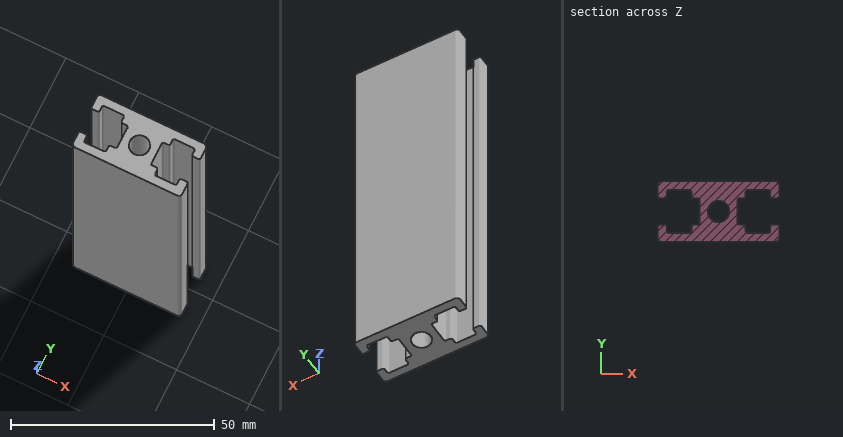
import cadquery as cq

width = 30.0
depth = 15.0
length = 100.0
corner_radius = 1.0

slot_width = 6.5
slot_depth = 10.3
slot_edge_radius = 0.5
lip_thickness = 2.3
shoulder_depth = 8.3
chamber_width = 10.5

bore_diameter = 5.2


def bar():
    """Solid rectangular bar standing on the XY plane."""
    return cq.Workplane("XY").rect(width, depth).extrude(length)


def slot_cutter(side):
    """T-slot void opening on the +X (side=1) or -X (side=-1) face."""
    chamber_depth = shoulder_depth - lip_thickness
    chamber_middle = (lip_thickness + shoulder_depth) / 2
    chamber = (
        cq.Workplane("XY")
        .center(side * (width / 2 - chamber_middle), 0)
        .rect(chamber_depth, chamber_width)
        .extrude(length)
        .edges("|Z")
        .fillet(slot_edge_radius)
    )
    passage = (
        cq.Workplane("XY")
        .center(side * (width - slot_depth) / 2, 0)
        .rect(slot_depth, slot_width)
        .extrude(length)
    )
    return chamber.union(passage)


def round_long_edges(body, inset, half_spacing, radius):
    """Fillet the four mirrored edges at an inset from the side faces and a distance from Y=0."""
    tolerance = 0.01
    edge_x = width / 2 - inset
    edges = body.edges("|Z").filter(
        lambda edge: abs(abs(edge.Center().x) - edge_x) < tolerance
        and abs(abs(edge.Center().y) - half_spacing) < tolerance
    )
    return edges.fillet(radius)


def bore_cutter():
    """Round hole running the full length on the bar's axis."""
    return cq.Workplane("XY").circle(bore_diameter / 2).extrude(length)


result = bar()
for side in (-1, 1):
    result = result.cut(slot_cutter(side))

result = round_long_edges(result, 0, depth / 2, corner_radius)
for inset in (0, lip_thickness, shoulder_depth, slot_depth):
    result = round_long_edges(result, inset, slot_width / 2, slot_edge_radius)

result = result.cut(bore_cutter())